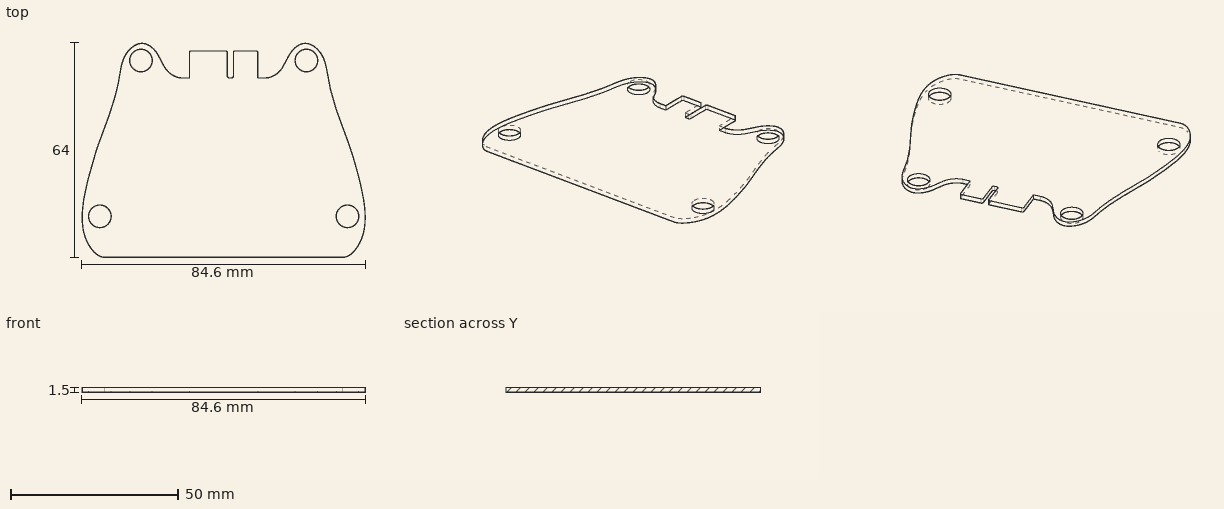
import cadquery as cq

width = 84.6
height = 63.95
thickness = 1.5

hole_diameter = 6.7
upper_hole_x = 24.7
upper_hole_y = 58.8
lower_hole_x = 37.0
lower_hole_y = 12.3

bottom_edge_half = 35.5
shoulder_y = 53.6
shoulder_end_x = 12.5

tab_half_span = 10.2
tab_top_y = 61.7
slot_left_x = 1.1
slot_right_x = 2.9
tab_corner_radius = 0.5
slot_corner_radius = 0.5

flank_points = [
    (bottom_edge_half, 0),
    (40.1, 3.4),
    (width / 2, 12.0),
    (40.85, 21.9),
    (37.6, 33.4),
    (33.7, 44.1),
    (31.2, 53.6),
    (28.9, 61.1),
    (24.3, height),
    (20.1, 61.3),
    (16.7, 55.6),
    (shoulder_end_x, shoulder_y),
]


def mirrored(points):
    """Reflect the points about x = 0 and reverse their order."""
    return [(-x, y) for x, y in reversed(points)]


def make_plate():
    """Plate outline without tabs: straight edges joined tangentially by the two flanks."""
    right = (1, 0)
    left = (-1, 0)
    return (
        cq.Workplane("XY")
        .moveTo(-bottom_edge_half, 0)
        .lineTo(*flank_points[0])
        .spline(flank_points[1:], tangents=[right, left], scale=False, includeCurrent=True)
        .lineTo(-shoulder_end_x, shoulder_y)
        .spline(mirrored(flank_points)[1:], tangents=[left, right], scale=False, includeCurrent=True)
        .close()
        .extrude(thickness)
    )


def make_tab(left_x, right_x):
    """Rectangular tab rising from the shoulder, with rounded top corners."""
    return (
        cq.Workplane("XY")
        .moveTo(left_x, 0)
        .lineTo(right_x, 0)
        .lineTo(right_x, tab_top_y)
        .lineTo(left_x, tab_top_y)
        .close()
        .extrude(thickness)
        .edges("|Z and >Y")
        .fillet(tab_corner_radius)
    )


def round_slot_floor(plate):
    """Fillet the two inside corners at the bottom of the slot."""
    margin = slot_corner_radius / 2
    corner_box = cq.selectors.BoxSelector(
        (slot_left_x - margin, shoulder_y - margin, -margin),
        (slot_right_x + margin, shoulder_y + margin, thickness + margin),
    )
    return plate.edges("|Z").edges(corner_box).fillet(slot_corner_radius)


def drill_holes(plate):
    """Cut the four mounting holes through the plate."""
    centers = [
        (side * x, y)
        for side in (-1, 1)
        for x, y in ((upper_hole_x, upper_hole_y), (lower_hole_x, lower_hole_y))
    ]
    holes = cq.Workplane("XY").pushPoints(centers).circle(hole_diameter / 2).extrude(thickness)
    return plate.cut(holes)


plate = make_plate()
plate = plate.union(make_tab(-tab_half_span, slot_left_x))
plate = plate.union(make_tab(slot_right_x, tab_half_span))
plate = round_slot_floor(plate)
result = drill_holes(plate)